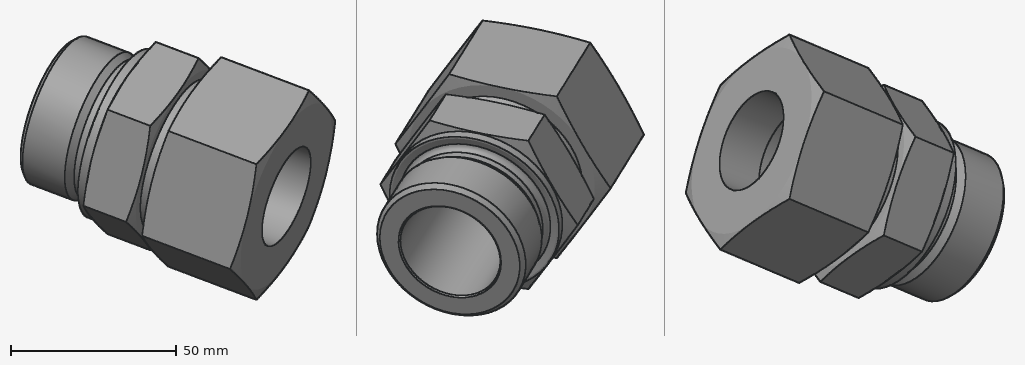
import cadquery as cq
import math


stud_radius = 23.9
stud_root_radius = 22.5
stud_chamfer = stud_radius - stud_root_radius
stud_thread_end = 15.8
runout_angle = math.radians(30)
groove_start = stud_thread_end + stud_chamfer / math.tan(runout_angle)

bore_radius = 16.0
bore_chamfer = 0.5

collar_start = 22.05
collar_end = 25.05
collar_radius = 27.25
recess_rim_radius = 26.55
recess_floor_radius = 24.25
recess_angle = math.radians(15)
recess_floor_x = collar_start + (recess_rim_radius - recess_floor_radius) * math.tan(recess_angle)

seal_start = 20.7
seal_seat_depth = 0.8
seal_seat_radius = stud_root_radius - seal_seat_depth

body_hex_flats = 55.0
body_hex_end = 41.95

neck_radius = 24.6
neck_end = 45.4
shank_radius = 26.0
shank_end = 64.0
shank_taper_angle = math.radians(30)
shank_start = neck_end + (shank_radius - neck_radius) / math.tan(shank_taper_angle)

nut_flats = 60.0
nut_start = 46.5
nut_end = 79.0

corner_angle = math.radians(15)


def revolve_about_x(profile):
    """Turn a closed (x, radius) profile about the X axis."""
    return profile.close().revolve(360, (0, 0, 0), (1, 0, 0))


def cylinder_along_x(start, end, radius):
    return cq.Workplane("YZ", origin=(start, 0, 0)).circle(radius).extrude(end - start)


def chamfered_hexagon(start, end, flats, start_radius):
    """Hexagon with flats at top and bottom and conical corner chamfers on both ends."""
    corner_radius = flats / math.sqrt(3)
    end_radius = flats / 2
    start_setback = (corner_radius - start_radius) * math.tan(corner_angle)
    end_setback = (corner_radius - end_radius) * math.tan(corner_angle)
    prism = (
        cq.Workplane("YZ", origin=(start, 0, 0))
        .polygon(6, 2 * corner_radius)
        .extrude(end - start)
    )
    envelope = revolve_about_x(
        cq.Workplane("XY")
        .moveTo(start, 0)
        .lineTo(start, start_radius)
        .lineTo(start + start_setback, corner_radius)
        .lineTo(end - end_setback, corner_radius)
        .lineTo(end, end_radius)
        .lineTo(end, 0)
    )
    return prism.intersect(envelope)


def cut_bore(solid):
    return solid.cut(cylinder_along_x(0, nut_end, bore_radius))


def make_stud_and_collar():
    return revolve_about_x(
        cq.Workplane("XY")
        .moveTo(0, 0)
        .lineTo(0, stud_root_radius)
        .lineTo(stud_chamfer, stud_radius)
        .lineTo(stud_thread_end, stud_radius)
        .lineTo(groove_start, stud_root_radius)
        .lineTo(seal_start, stud_root_radius)
        .lineTo(seal_start, seal_seat_radius)
        .lineTo(recess_floor_x, seal_seat_radius)
        .lineTo(recess_floor_x, recess_floor_radius)
        .lineTo(collar_start, recess_rim_radius)
        .lineTo(collar_start, collar_radius)
        .lineTo(collar_end, collar_radius)
        .lineTo(collar_end, 0)
    )


def make_neck_and_shank():
    """Neck behind the hexagon, tapering out into the shank inside the nut."""
    return revolve_about_x(
        cq.Workplane("XY")
        .moveTo(body_hex_end, 0)
        .lineTo(body_hex_end, neck_radius)
        .lineTo(neck_end, neck_radius)
        .lineTo(shank_start, shank_radius)
        .lineTo(shank_end, shank_radius)
        .lineTo(shank_end, 0)
    )


def make_body():
    hexagon = chamfered_hexagon(collar_end, body_hex_end, body_hex_flats, collar_radius)
    outside = make_stud_and_collar().union(hexagon).union(make_neck_and_shank())
    bore_mouth = cq.Workplane(
        cq.Solid.makeCone(
            bore_radius + bore_chamfer,
            bore_radius,
            bore_chamfer,
            dir=cq.Vector(1, 0, 0),
        )
    )
    return cut_bore(outside).cut(bore_mouth)


def make_seal():
    """Ring whose exposed side sweeps up from the groove bottom to the recess cone."""
    arc_run = recess_floor_x - seal_start
    arc_rise = recess_floor_radius - stud_root_radius
    arc_radius = (arc_run**2 + arc_rise**2) / (2 * arc_rise)
    half_sweep = math.atan2(arc_rise, arc_run)
    seal_arc_middle = (
        seal_start + arc_radius * math.sin(half_sweep),
        stud_root_radius + arc_radius * (1 - math.cos(half_sweep)),
    )
    return revolve_about_x(
        cq.Workplane("XY")
        .moveTo(seal_start, seal_seat_radius)
        .lineTo(seal_start, stud_root_radius)
        .threePointArc(seal_arc_middle, (recess_floor_x, recess_floor_radius))
        .lineTo(recess_floor_x, seal_seat_radius)
    )


def make_nut():
    """Union nut, bored from the front for the shank and closed down to the bore behind it."""
    hexagon = chamfered_hexagon(nut_start, nut_end, nut_flats, nut_flats / 2)
    shank_hole = cylinder_along_x(nut_start, shank_end, shank_radius)
    return cut_bore(hexagon).cut(shank_hole)


body = make_body()
seal = make_seal()
nut = make_nut()

result = cq.Compound.makeCompound([body.val(), seal.val(), nut.val()])